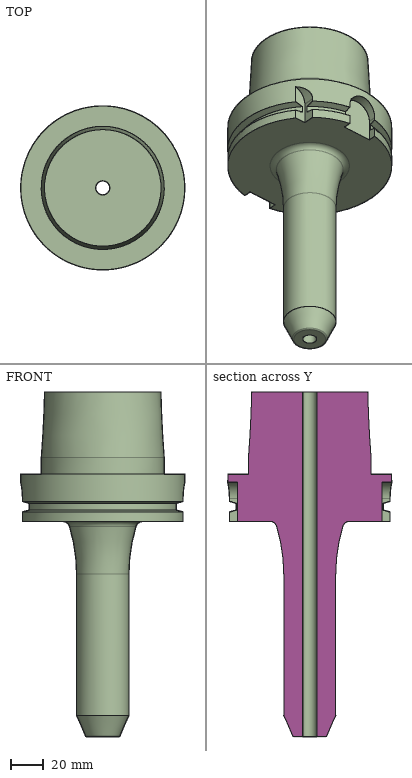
import cadquery as cq
import math


shank_length = 50.0
shank_base_radius = 37.5
shank_top_radius = 35.5
shank_collar_height = 10.0

flange_radius = 50.0
flange_thickness = 29.0
groove_radius = 46.0
groove_top_z = -16.7
groove_height = 6.35
groove_flank_height = 1.15

shaft_radius = 16.0
shaft_end_z = -160.0
neck_end_z = -61.0
neck_curve_radius = 100.0
neck_fillet_radius = 4.0

tip_length = 13.0
tip_end_radius = 10.3
tip_round_radius = 1.0

bore_diameter = 8.4

keyway_width = 20.0
keyway_center_z = -15.0
keyway_floor_x = 44.0
notch_floor_x = 31.7
notch_center_y = 41.3


def make_body():
    """Revolved outline of shank, flange, neck, shaft and tip."""
    flange_bottom_z = -flange_thickness
    groove_bottom_z = groove_top_z - groove_height

    arc_center_r = shaft_radius + neck_curve_radius
    fillet_center_z = flange_bottom_z - neck_fillet_radius
    center_distance = neck_curve_radius - neck_fillet_radius
    fillet_center_r = arc_center_r - math.sqrt(center_distance**2 - (fillet_center_z - neck_end_z) ** 2)
    join_angle = math.atan2(fillet_center_z - neck_end_z, fillet_center_r - arc_center_r)

    def neck_point(angle):
        return (
            arc_center_r + neck_curve_radius * math.cos(angle),
            neck_end_z + neck_curve_radius * math.sin(angle),
        )

    def fillet_point(angle):
        return (
            fillet_center_r + neck_fillet_radius * math.cos(angle),
            fillet_center_z + neck_fillet_radius * math.sin(angle),
        )

    fillet_top_angle = math.pi / 2

    outline = (
        cq.Workplane("YZ")
        .moveTo(0, shank_length)
        .lineTo(shank_top_radius, shank_length)
        .lineTo(shank_base_radius, shank_collar_height)
        .lineTo(shank_base_radius, 0)
        .lineTo(flange_radius, 0)
        .lineTo(flange_radius, groove_top_z)
        .lineTo(groove_radius, groove_top_z - groove_flank_height)
        .lineTo(groove_radius, groove_bottom_z + groove_flank_height)
        .lineTo(flange_radius, groove_bottom_z)
        .lineTo(flange_radius, flange_bottom_z)
        .lineTo(*fillet_point(fillet_top_angle))
        .threePointArc(
            fillet_point((fillet_top_angle + join_angle) / 2),
            fillet_point(join_angle),
        )
        .threePointArc(
            neck_point((join_angle + math.pi) / 2),
            (shaft_radius, neck_end_z),
        )
        .lineTo(shaft_radius, shaft_end_z + tip_length)
        .lineTo(tip_end_radius, shaft_end_z)
        .lineTo(0, shaft_end_z)
        .close()
    )
    body = outline.revolve(360, (0, 0, 0), (0, 1, 0))
    return body.faces("<Z").edges().fillet(tip_round_radius)


def keyway_cutter(center_y, floor_x):
    """Slot cutter on the -X side, from its flat floor out to the flange rim."""
    half_width = keyway_width / 2
    return (
        cq.Workplane("YZ", origin=(-floor_x, center_y, 0))
        .moveTo(-half_width, -flange_thickness)
        .lineTo(-half_width, keyway_center_z)
        .threePointArc((0, keyway_center_z + half_width), (half_width, keyway_center_z))
        .lineTo(half_width, -flange_thickness)
        .close()
        .extrude(floor_x - flange_radius)
    )


def make_bore():
    """Coolant bore through the full length."""
    return (
        cq.Workplane("XY", origin=(0, 0, shaft_end_z))
        .circle(bore_diameter / 2)
        .extrude(shank_length - shaft_end_z)
    )


keyway = keyway_cutter(0, keyway_floor_x)

result = make_body()
result = result.cut(keyway)
result = result.cut(keyway.mirror("YZ"))
result = result.cut(keyway_cutter(notch_center_y, notch_floor_x))
result = result.cut(make_bore())